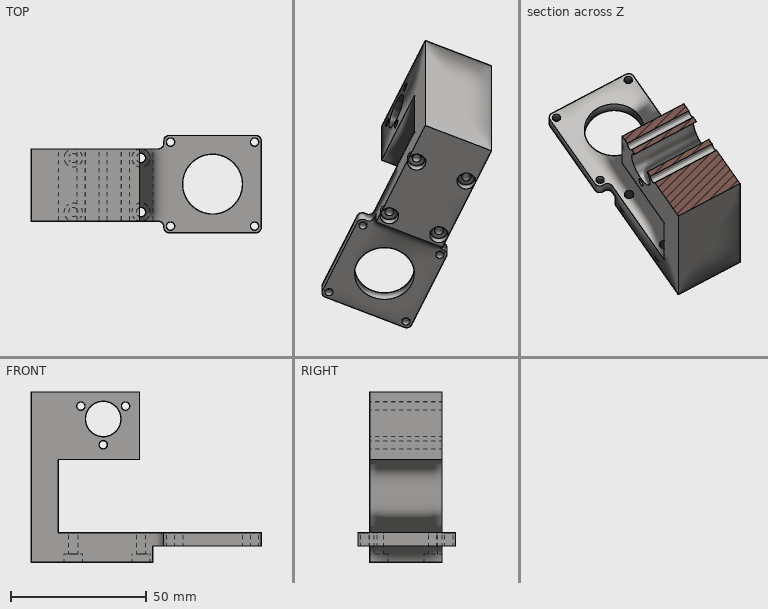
import cadquery as cq
import math

body_height = 63.0
body_width = 26.8
body_center_y = -0.3
column_depth = 10.0
arm_length = 40.0
arm_underside = 38.0
base_length = 45.0

total_length = 85.0
plate_size = 36.0
plate_thickness = 4.9
plate_top = 11.0
plate_bottom = plate_top - plate_thickness
plate_center_x = total_length - plate_size / 2
corner_radius = 2.0
motor_bore_diameter = 22.0
motor_screw_spacing = 31.0
screw_diameter = 3.0

arm_bore_x = 26.6
arm_bore_z = 52.95
arm_bore_diameter = 13.0
arm_screw_circle_radius = 9.5
arm_screw_angles = (30, 150, 270)

mount_hole_diameter = 3.4
mount_spacing_x = 25.0
mount_spacing_y = 20.0
mount_center_x = 28.05
counterbore_diameter = 6.7
counterbore_depth = 3.1


def make_body():
    """C profile in the XZ plane, extruded across the body width."""
    profile = [
        (0, 0),
        (base_length, 0),
        (base_length, plate_top),
        (column_depth, plate_top),
        (column_depth, arm_underside),
        (arm_length, arm_underside),
        (arm_length, body_height),
        (0, body_height),
    ]
    body = cq.Workplane("XZ").polyline(profile).close().extrude(body_width / 2, both=True)
    return body.translate((0, body_center_y, 0))


def make_plate():
    """Motor plate with a neck reaching back into the base, all vertical edges rounded."""
    neck_end = plate_center_x
    neck_start = column_depth
    neck = (
        cq.Workplane("XY", origin=(0, body_center_y, plate_bottom))
        .center((neck_start + neck_end) / 2, 0)
        .rect(neck_end - neck_start, body_width)
        .extrude(plate_thickness)
    )
    plate = (
        cq.Workplane("XY", origin=(plate_center_x, 0, plate_bottom))
        .rect(plate_size, plate_size)
        .extrude(plate_thickness)
        .union(neck)
    )
    outer_edges = cq.selectors.BoxSelector(
        (base_length, -plate_size, 0), (total_length + 0.85, plate_size, body_height)
    )
    return plate.edges("|Z").edges(outer_edges).fillet(corner_radius)


def cut_motor_holes(part):
    """Central bore and four screw holes through the plate."""
    plane = cq.Workplane("XY", origin=(plate_center_x, 0, plate_bottom))
    bore = plane.circle(motor_bore_diameter / 2).extrude(plate_thickness)
    screws = (
        plane.rect(motor_screw_spacing, motor_screw_spacing, forConstruction=True)
        .vertices()
        .circle(screw_diameter / 2)
        .extrude(plate_thickness)
    )
    return part.cut(bore).cut(screws)


def cut_arm_holes(part):
    """Bore and three evenly spaced screw holes running along Y through the arm."""
    screw_points = []
    for degrees in arm_screw_angles:
        angle = math.radians(degrees)
        point = (arm_screw_circle_radius * math.cos(angle), arm_screw_circle_radius * math.sin(angle))
        screw_points.append(point)
    plane = cq.Workplane("XZ", origin=(arm_bore_x, 0, arm_bore_z))
    bore = plane.circle(arm_bore_diameter / 2).extrude(body_width, both=True)
    screws = plane.pushPoints(screw_points).circle(screw_diameter / 2).extrude(body_width, both=True)
    return part.cut(bore).cut(screws)


def cut_mount_holes(part):
    """Four through holes in the base, counterbored from the underside."""
    centers = cq.Workplane("XY", origin=(mount_center_x, body_center_y, 0)).rect(
        mount_spacing_x, mount_spacing_y, forConstruction=True
    ).vertices()
    holes = centers.circle(mount_hole_diameter / 2).extrude(plate_top)
    counterbores = centers.circle(counterbore_diameter / 2).extrude(counterbore_depth)
    return part.cut(holes).cut(counterbores)


result = make_body().union(make_plate())
result = cut_motor_holes(result)
result = cut_arm_holes(result)
result = cut_mount_holes(result)